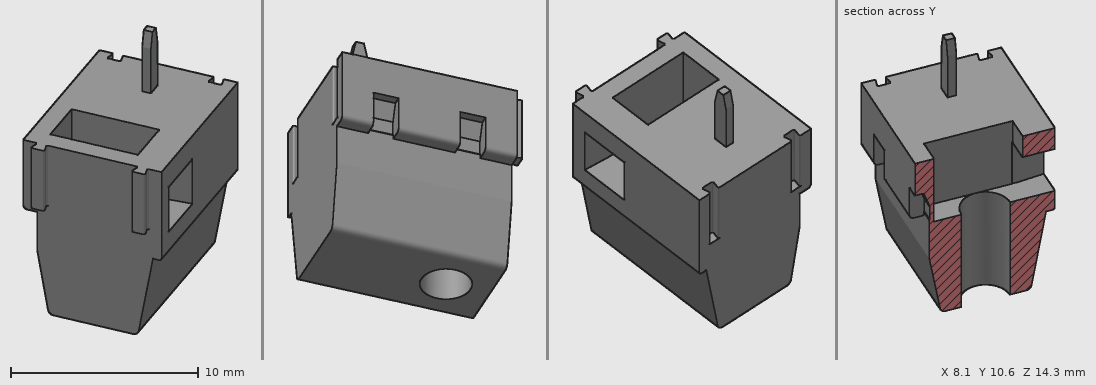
import cadquery as cq
import math

total_height = 14.31
body_width = 8.1
body_length = 10.02
body_height = 10.58

flank_taper = math.radians(10)
left_flank_x = -3.23
left_taper_z = 3.88
left_shoulder_z = 6.25
left_shoulder_fillet = 0.26
right_flank_x = 3.55
right_shoulder_z = 5.02
right_shoulder_fillet = 0.15
bottom_fillet = 0.35

dovetail_spacing = 5.9
dovetail_depth = 0.59
dovetail_length = 3.78
dovetail_root_half = 0.27
dovetail_tip_half = 0.4
dovetail_fillet = 0.09

pocket_left_x = -2.95
pocket_right_x = 2.18
pocket_width = 2.8
pocket_y = 2.5
window_drop = 1.46
window_width = 2.83
window_height = pocket_width
window_overlap = 0.03
window_throat = 0.29
window_flare = math.radians(5)
pocket_depth = window_drop + window_height
hole_diameter = pocket_width
hole_x = 0.05

notch_centers_y = (2.53, 7.51)
notch_width = 1.45
notch_top_z = 8.37
slope_foot_z = 7.37
recess_bottom_z = left_shoulder_z + left_shoulder_fillet
recess_step = 0.05
roof_depth = 0.5

pin_thickness = 0.52
pin_width = 0.87
pin_tip_width = 0.46
pin_tip_height = 0.95
pin_y = body_length - 2.48


def extrude_along_y(profile, start_y, length):
    """Extrude a closed outline of (x, z) points from start_y towards +Y."""
    return cq.Workplane("XZ", origin=(0, start_y, 0)).polyline(profile).close().extrude(-length)


def make_body():
    half = body_width / 2
    bottom_left_x = left_flank_x + left_taper_z * math.tan(flank_taper)
    bottom_right_x = right_flank_x - right_shoulder_z * math.tan(flank_taper)
    profile = [
        (bottom_left_x, 0),
        (bottom_right_x, 0),
        (right_flank_x, right_shoulder_z),
        (half, right_shoulder_z),
        (half, body_height),
        (-half, body_height),
        (-half, left_shoulder_z),
        (left_flank_x, left_shoulder_z),
        (left_flank_x, left_taper_z),
    ]
    body = extrude_along_y(profile, 0, body_length)
    body = body.edges("|Y").edges("<Z").fillet(bottom_fillet)
    left_corner = cq.selectors.NearestToPointSelector((-half, body_length / 2, left_shoulder_z))
    body = body.edges(left_corner).fillet(left_shoulder_fillet)
    right_corner = cq.selectors.NearestToPointSelector((half, body_length / 2, right_shoulder_z))
    return body.edges(right_corner).fillet(right_shoulder_fillet)


def make_dovetail(x, root_y):
    """Dovetail bar widening towards -Y, with rounded tips and flared root corners."""
    root_pad = 0.15
    pad_half = dovetail_tip_half + root_pad
    bar = (
        cq.Workplane("XY", origin=(x, root_y, body_height - dovetail_length))
        .moveTo(-pad_half, root_pad)
        .lineTo(-pad_half, 0)
        .lineTo(-dovetail_root_half, 0)
        .lineTo(-dovetail_tip_half, -dovetail_depth)
        .lineTo(dovetail_tip_half, -dovetail_depth)
        .lineTo(dovetail_root_half, 0)
        .lineTo(pad_half, 0)
        .lineTo(pad_half, root_pad)
        .close()
        .extrude(dovetail_length)
    )
    inner_edges = cq.selectors.BoxSelector(
        (x - dovetail_tip_half - root_pad / 2, root_y - dovetail_depth - root_pad / 2, 0),
        (x + dovetail_tip_half + root_pad / 2, root_y + root_pad / 2, total_height),
    )
    return bar.edges("|Z").edges(inner_edges).fillet(dovetail_fillet)


def make_pocket():
    length = pocket_right_x - pocket_left_x
    center_x = (pocket_right_x + pocket_left_x) / 2
    floor_z = body_height - pocket_depth
    return (
        cq.Workplane("XY", origin=(center_x, pocket_y, floor_z))
        .rect(length, pocket_width)
        .extrude(pocket_depth)
    )


def make_window():
    """Wire opening in the +X wall: a straight throat, then slightly flared sides."""
    start_x = pocket_right_x - window_overlap
    throat_x = pocket_right_x + window_throat
    half = window_width / 2
    mouth_half = half + (body_width / 2 - throat_x) * math.tan(window_flare)
    return (
        cq.Workplane("XY", origin=(0, pocket_y, body_height - pocket_depth))
        .moveTo(start_x, -half)
        .lineTo(throat_x, -half)
        .lineTo(body_width / 2, -mouth_half)
        .lineTo(body_width / 2, mouth_half)
        .lineTo(throat_x, half)
        .lineTo(start_x, half)
        .close()
        .extrude(window_height)
    )


def make_hole():
    return cq.Workplane("XY", origin=(hole_x, pocket_y, 0)).circle(hole_diameter / 2).extrude(body_height)


def make_notch(center_y):
    """Skirt notch slightly recessed into the flank, with a slope leading out to its flat roof."""
    step_x = left_flank_x + recess_step
    profile = [
        (-body_width / 2, left_shoulder_z),
        (left_flank_x, left_shoulder_z),
        (left_flank_x, recess_bottom_z),
        (step_x, recess_bottom_z),
        (step_x, slope_foot_z),
        (-body_width / 2 + roof_depth, notch_top_z),
        (-body_width / 2, notch_top_z),
    ]
    return extrude_along_y(profile, center_y - notch_width / 2, notch_width)


def make_pin():
    """Flat pin whose tip tapers in Y only."""
    shoulder_z = total_height - pin_tip_height
    return (
        cq.Workplane("YZ", origin=(-pin_thickness / 2, pin_y, 0))
        .moveTo(-pin_width / 2, body_height)
        .lineTo(pin_width / 2, body_height)
        .lineTo(pin_width / 2, shoulder_z)
        .lineTo(pin_tip_width / 2, total_height)
        .lineTo(-pin_tip_width / 2, total_height)
        .lineTo(-pin_width / 2, shoulder_z)
        .close()
        .extrude(pin_thickness)
    )


result = make_body().cut(make_pocket()).cut(make_window()).cut(make_hole())

for center_y in notch_centers_y:
    result = result.cut(make_notch(center_y))

for dovetail_x in (-dovetail_spacing / 2, dovetail_spacing / 2):
    result = result.union(make_dovetail(dovetail_x, 0))
    result = result.cut(make_dovetail(dovetail_x, body_length))

result = result.union(make_pin())